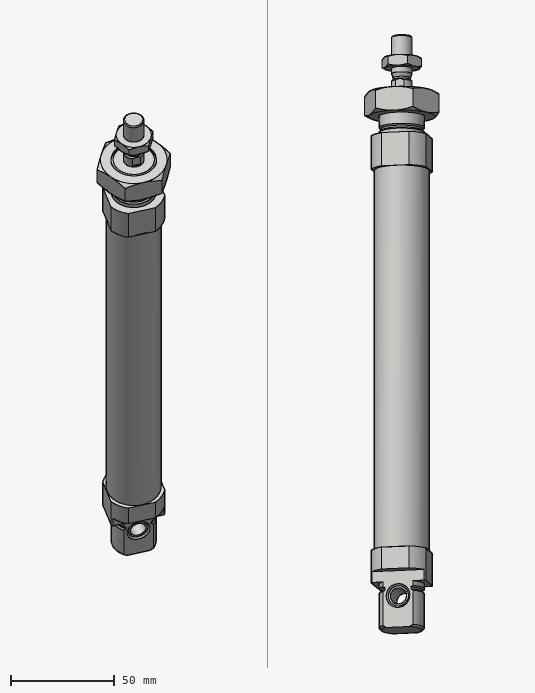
import cadquery as cq
import math

total_length = 291.5

stub_diameter = 22.0
tang_thickness = 16.0
pivot_diameter = 8.0
pivot_ledge_diameter = 10.0
pivot_mouth_diameter = 11.7
pivot_height = 15.5

stub_end_diameter = 19.8
stub_end_chamfer = (stub_diameter - stub_end_diameter) / 2
stub_groove_diameter = 20.5
stub_groove_depth = (stub_diameter - stub_groove_diameter) / 2
stub_groove_width = 2.3
groove_to_cap = 2.3

cap_diameter = 30.3
cap_across_flats = 27.0
rear_cap_bottom = 22.5
rear_cap_top = 38.5
tang_shoulder_height = 27.7
front_cap_bottom = 225.5
front_cap_top = 242.0
tube_diameter = 26.5

collar_length = 22.0
collar_top = front_cap_top + collar_length

rod_diameter = 10.0
rod_tip_chamfer = 0.5
rod_across_flats = 9.0
rod_flat_bottom = 264.7
rod_flat_top = 270.2
rod_groove_diameter = 8.5
rod_groove_bottom = 269.3
rod_groove_floor_bottom = 270.2
rod_groove_floor_top = 271.0
rod_groove_top = 273.0

rod_nut_across_flats = 17.0
rod_nut_bottom = 275.8
rod_nut_height = 5.2
mounting_nut_across_flats = 32.0
mounting_nut_height = 11.7
mounting_nut_bottom = collar_top - mounting_nut_height
nut_chamfer_angle = 30.0


def cylinder(diameter, bottom, top):
    """Cylinder on the Z axis between two heights."""
    return cq.Workplane("XY").workplane(offset=bottom).circle(diameter / 2).extrude(top - bottom)


def centred_box(x_size, y_size, bottom, top):
    """Box centred on the Z axis between two heights."""
    return cq.Workplane("XY").workplane(offset=bottom).rect(x_size, y_size).extrude(top - bottom)


def end_cap(bottom, top):
    """Round cap flattened on its four sides."""
    block = centred_box(cap_across_flats, cap_across_flats, bottom, top)
    return cylinder(cap_diameter, bottom, top).intersect(block)


def groove_ring(outer_radius, floor_radius, floor_bottom, floor_top, bottom, top):
    """Ring with a trapezoid section, used to cut a groove around the axis."""
    return (
        cq.Workplane("XZ")
        .moveTo(outer_radius, bottom)
        .lineTo(floor_radius, floor_bottom)
        .lineTo(floor_radius, floor_top)
        .lineTo(outer_radius, top)
        .close()
        .revolve(360, (0, 0, 0), (0, 1, 0))
    )


def stub_groove(bottom):
    """Undercut with 45-degree walls around a round stub."""
    top = bottom + stub_groove_width
    return groove_ring(
        stub_diameter / 2,
        stub_groove_diameter / 2,
        bottom + stub_groove_depth,
        top - stub_groove_depth,
        bottom,
        top,
    )


def rear_end():
    """Rear cap and stub, flattened on both X sides into a tang with a cross hole."""
    stub = cylinder(stub_diameter, 0, rear_cap_bottom).faces("<Z").chamfer(stub_end_chamfer)
    stub = stub.cut(stub_groove(rear_cap_bottom - groove_to_cap - stub_groove_width))
    body = stub.union(end_cap(rear_cap_bottom, rear_cap_top))

    flats = centred_box(cap_diameter, cap_diameter, 0, tang_shoulder_height).cut(
        centred_box(tang_thickness, cap_diameter, 0, tang_shoulder_height)
    )
    body = body.cut(flats)

    face_x = tang_thickness / 2
    ledge_x = face_x - (pivot_mouth_diameter - pivot_ledge_diameter) / 2
    bore_top = pivot_height + pivot_diameter / 2
    half_hole = (
        cq.Workplane("XZ")
        .moveTo(0, pivot_height)
        .lineTo(0, bore_top)
        .lineTo(ledge_x, bore_top)
        .lineTo(ledge_x, pivot_height + pivot_ledge_diameter / 2)
        .lineTo(face_x, pivot_height + pivot_mouth_diameter / 2)
        .lineTo(face_x, pivot_height)
        .close()
        .revolve(360, (0, pivot_height, 0), (1, pivot_height, 0))
    )
    return body.cut(half_hole).cut(half_hole.mirror("YZ"))


def front_end():
    """Front cap with the grooved collar."""
    collar = cylinder(stub_diameter, front_cap_top, collar_top).faces(">Z").chamfer(stub_end_chamfer)
    collar = collar.cut(stub_groove(front_cap_top + groove_to_cap))
    return end_cap(front_cap_bottom, front_cap_top).union(collar)


def make_housing():
    """Tube with both ends and a blind bore that holds the rod."""
    tube = cylinder(tube_diameter, rear_cap_top, front_cap_bottom)
    bore = cylinder(rod_diameter, front_cap_bottom, collar_top)
    return rear_end().union(tube).union(front_end()).cut(bore)


def make_rod():
    """Piston rod with a chamfered tip, a neck groove and two wrench flats on its X sides."""
    rod = cylinder(rod_diameter, front_cap_bottom, total_length).faces(">Z").chamfer(rod_tip_chamfer)
    groove = groove_ring(
        rod_diameter / 2,
        rod_groove_diameter / 2,
        rod_groove_floor_bottom,
        rod_groove_floor_top,
        rod_groove_bottom,
        rod_groove_top,
    )
    flats = centred_box(rod_diameter, rod_diameter, rod_flat_bottom, rod_flat_top).cut(
        centred_box(rod_across_flats, rod_diameter, rod_flat_bottom, rod_flat_top)
    )
    return rod.cut(groove).cut(flats)


def make_nut(across_flats, bore_diameter, bottom, height):
    """Hexagon nut with corners on the Y axis, its corners bevelled at both ends."""
    corner_radius = across_flats / math.sqrt(3)
    flat_radius = across_flats / 2
    bevel_height = (corner_radius - flat_radius) * math.tan(math.radians(nut_chamfer_angle))
    top = bottom + height
    hexagon = (
        cq.Workplane("XY")
        .workplane(offset=bottom)
        .transformed(rotate=(0, 0, 90))
        .polygon(6, 2 * corner_radius)
        .extrude(height)
    )
    bevelled_round = (
        cq.Workplane("XZ")
        .moveTo(0, bottom)
        .lineTo(flat_radius, bottom)
        .lineTo(corner_radius, bottom + bevel_height)
        .lineTo(corner_radius, top - bevel_height)
        .lineTo(flat_radius, top)
        .lineTo(0, top)
        .close()
        .revolve(360, (0, 0, 0), (0, 1, 0))
    )
    return hexagon.intersect(bevelled_round).cut(cylinder(bore_diameter, bottom, top))


housing = make_housing()
rod = make_rod()
rod_nut = make_nut(rod_nut_across_flats, rod_diameter, rod_nut_bottom, rod_nut_height)
mounting_nut = make_nut(
    mounting_nut_across_flats, stub_diameter, mounting_nut_bottom, mounting_nut_height
)

result = cq.Compound.makeCompound([housing.val(), rod.val(), rod_nut.val(), mounting_nut.val()])